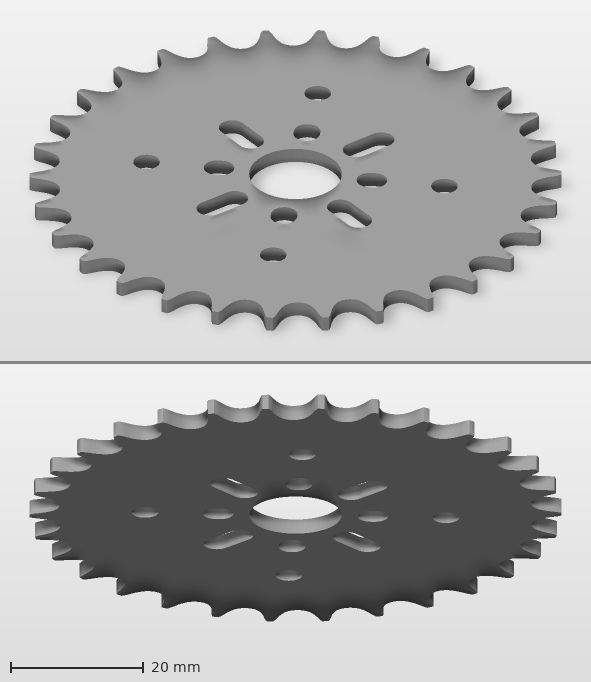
import cadquery as cq
import math

outer_diameter = 80.2
thickness = 2.3
tooth_count = 30
pitch_radius = 38.25
seat_radius = 2.6
seat_end_angle = 37.0
working_radius = 6.6
working_sweep = 16.1
flat_length = 0.68
topping_radius = 4.1

bore_diameter = 13.95
hole_diameter = 4.0
pattern_spacing = 16.0
slot_inner = pattern_spacing / math.sqrt(2)
short_slot_outer = 11.95

outer_radius = outer_diameter / 2
tooth_step = 360 / tooth_count


def turned(point, degrees):
    """Rotate a point counterclockwise about the part centre."""
    angle = math.radians(degrees)
    x, y = point
    return (
        x * math.cos(angle) - y * math.sin(angle),
        x * math.sin(angle) + y * math.cos(angle),
    )


def mirrored(point):
    return (-point[0], point[1])


def polar(length, degrees):
    return turned((length, 0), degrees)


def shifted(point, step):
    return (point[0] + step[0], point[1] + step[1])


def right_flank():
    """Points along the right flank of a tooth centred on +Y, from the seat up to the tip."""
    seat_centre = polar(pitch_radius, 90 - tooth_step / 2)

    seat_end = 180 + seat_end_angle - tooth_step / 2
    flat_normal = seat_end - working_sweep

    working_centre = shifted(seat_centre, polar(seat_radius - working_radius, seat_end))
    working_start = shifted(seat_centre, polar(seat_radius, seat_end))
    working_middle = shifted(working_centre, polar(working_radius, (seat_end + flat_normal) / 2))
    working_end = shifted(working_centre, polar(working_radius, flat_normal))

    flat_end = shifted(working_end, polar(flat_length, flat_normal - 90))

    topping_centre = shifted(flat_end, polar(topping_radius, flat_normal))
    centre_distance = math.hypot(*topping_centre)
    centre_angle = math.degrees(math.atan2(topping_centre[1], topping_centre[0]))
    cosine = (outer_radius**2 + centre_distance**2 - topping_radius**2) / (
        2 * outer_radius * centre_distance
    )
    tip_corner = polar(outer_radius, centre_angle - math.degrees(math.acos(cosine)))
    tip_rise = tip_corner[1] - topping_centre[1]
    tip_run = tip_corner[0] - topping_centre[0]
    tip_normal = math.degrees(math.atan2(tip_rise, tip_run))
    topping_middle = shifted(
        topping_centre, polar(topping_radius, (flat_normal - 180 + tip_normal) / 2)
    )
    return working_start, working_middle, working_end, flat_end, topping_middle, tip_corner


def toothed_plate():
    working_start, working_middle, working_end, flat_end, topping_middle, tip_corner = right_flank()
    tip = (0, outer_radius)
    seat_bottom = polar(pitch_radius - seat_radius, 90 + tooth_step / 2)

    segments = [
        (working_middle, working_end),
        (None, flat_end),
        (topping_middle, tip_corner),
        (tip, mirrored(tip_corner)),
        (mirrored(topping_middle), mirrored(flat_end)),
        (None, mirrored(working_end)),
        (mirrored(working_middle), mirrored(working_start)),
        (seat_bottom, turned(working_start, tooth_step)),
    ]

    outline = cq.Workplane("XY").moveTo(*working_start)
    for tooth in range(tooth_count):
        turn = tooth * tooth_step
        for middle, end in segments:
            if middle is None:
                outline = outline.lineTo(*turned(end, turn))
            else:
                outline = outline.threePointArc(turned(middle, turn), turned(end, turn))
    return outline.close().extrude(thickness)


def radial_slots(inner, outer, first_angle):
    """Four slots; inner and outer are the radii of their end-arc centres."""
    length = outer - inner + hole_diameter
    slots = cq.Workplane("XY")
    for quarter in range(4):
        angle = first_angle + 90 * quarter
        centre = turned(((inner + outer) / 2, 0), angle)
        slot = cq.Workplane("XY").center(*centre).slot2D(length, hole_diameter, angle)
        slots = slots.add(slot.extrude(thickness))
    return slots.combine()


bore = cq.Workplane("XY").circle(bore_diameter / 2).extrude(thickness)
corner_holes = (
    cq.Workplane("XY")
    .rect(2 * pattern_spacing, 2 * pattern_spacing, forConstruction=True)
    .vertices()
    .circle(hole_diameter / 2)
    .extrude(thickness)
)

result = (
    toothed_plate()
    .cut(bore)
    .cut(corner_holes)
    .cut(radial_slots(slot_inner, pattern_spacing, 0))
    .cut(radial_slots(slot_inner, short_slot_outer, 45))
)